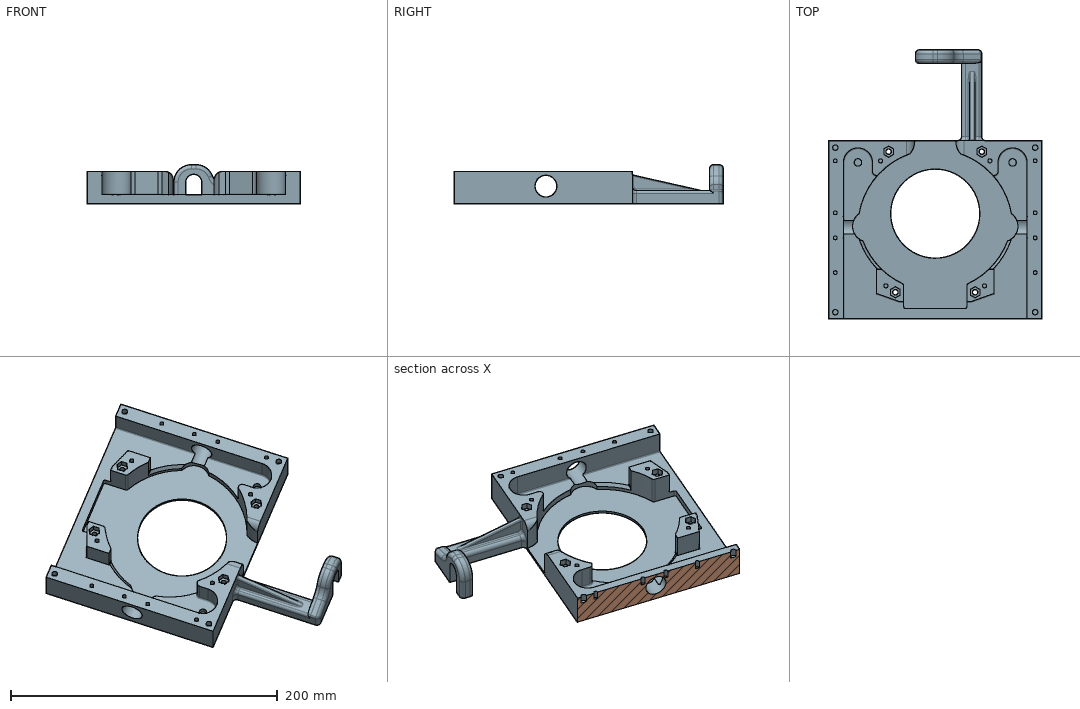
import cadquery as cq
import math

body_width = 160.0
body_depth = 133.7
body_height = 24.5
floor_top = 7.0
wall_thickness = 11.1
base_fillet = 0.5
wall_inner_x = body_width / 2 - wall_thickness

slot_width = 21.8
slot_x = wall_inner_x - slot_width / 2
slot_end_y = 117.4
slot_hole_radius = 2.8
slot_hole_depth = 4
boss_front_y = 107.7
boss_corner_fillet = 3.0

opening_half_width = 15.4
opening_curve_radius = 15.0
opening_end_x = 19.0
opening_round = 6.3

post_outer_x = 44.2
post_inner_x = 23.6
post_rear_y = 37.0
post_bevel_y = 19.2
post_front_x = 26.7
post_front_y = 13.0
post_corner_fillet = 2
post_overlap = 2

recess_floor = 2
bore_radius = 33.3
bore_y = 79.0
recess_radius = 58.0
recess_rear_center_y = 69.0
recess_front_y = 7.7
recess_corner_fillet = 1.5
bulge_radius = 11.7
bulge_x = 50.3
bulge_y = 69.5
bevel_size = 2.2
bevel_rear_y = 59.5

cross_bore_radius = 8
cross_bore_y = 68.9
cross_bore_z = 13.3

wall_hole_x = 75.0
wall_screw_radius = 2
wall_screw_ys = (5.0, 128.5)
wall_pin_radius = 1.5
wall_pin_ys = (34.7, 60.8, 79.5, 118.5)
blind_hole_depth = 6
bolt_radius = 1.92
nut_across_flats = 7.3
nut_depth = 5.0
bolt_points = ((29.9, 20.0), (35.0, 125.5))
block_pin_radius = 1.52
block_pin_points = ((37.0, 24.8), (41.0, 118.5))

overall_depth = 202
overall_height = 29.5
arm_left = 19.5
arm_right = 35.0
arm_height = 10
arm_left_fillet = 3.2
arm_right_fillet = 2.2
arm_root_fillet = 3.0
hook_thickness = 10.5
hook_radius = 13.1
hook_half_width = 15.0
hook_slot_radius = 5.95
hook_slot_spring_z = 16.2
hook_fillet = 3.2
hook_end_fillet = 1.5
valley_end_x = 21.0
valley_end_z = 14.7
bar_end_z = 10.7
rib_width = 4
rib_center_x = 27.7
rib_root_height = 21.8
rib_tip_y = 185.6
rib_top_fillet = 0.8
rib_foot_fillet = 1.0

pick_margin = 0.2


def both_sides(points):
    """Points on the +X side together with their mirror images."""
    return [(side * x, y) for side in (-1, 1) for x, y in points]


def prism(sketch, bottom, top):
    """Extrude a plan outline drawn on the XY plane between two heights."""
    return sketch.extrude(top - bottom).translate((0, 0, bottom))


def box(x_min, x_max, y_min, y_max, z_min, z_max):
    return (
        cq.Workplane("XY")
        .box(x_max - x_min, y_max - y_min, z_max - z_min, centered=False)
        .translate((x_min, y_min, z_min))
    )


def pick_zone(x_min, x_max, y_min, y_max, z_min, z_max):
    """Selector for the edges centred in a box or on its faces."""
    return cq.selectors.BoxSelector(
        (x_min - pick_margin, y_min - pick_margin, z_min - pick_margin),
        (x_max + pick_margin, y_max + pick_margin, z_max + pick_margin),
    )


def make_boss():
    """Rear right block and slot end; the recess later trims it back from the middle."""
    slot_inner_x = slot_x - slot_width / 2
    boss = box(0, slot_inner_x, boss_front_y, body_depth, 0, body_height)
    boss = boss.edges("|Z and >X and <Y").fillet(boss_corner_fillet)
    web = box(slot_inner_x, wall_inner_x, slot_end_y, body_depth, 0, body_height)
    slot_end = cq.Workplane("XY").center(slot_x, slot_end_y).circle(slot_width / 2).extrude(body_height)
    return boss.union(web.cut(slot_end))


def make_post():
    """Front right post; its rear inner side is trimmed later by the recess."""
    outline = cq.Workplane("XY").polyline([
        (post_inner_x - post_overlap, post_front_y),
        (post_front_x, post_front_y),
        (post_outer_x, post_bevel_y),
        (post_outer_x, post_rear_y),
        (post_inner_x - post_overlap, post_rear_y),
    ]).close()
    return outline.extrude(body_height)


def make_tray():
    half_width = body_width / 2
    tray = box(-half_width, half_width, 0, body_depth, 0, floor_top)
    right = box(wall_inner_x, half_width, 0, body_depth, 0, body_height)
    right = right.union(make_boss()).union(make_post())
    tray = tray.union(right).union(right.mirror("YZ"))
    cavity_rear_y = slot_end_y + slot_width / 2
    cavity_edges = pick_zone(-wall_inner_x, wall_inner_x, 0, cavity_rear_y, floor_top, floor_top)
    for side_x in (-post_outer_x, post_outer_x):
        cavity_edges -= pick_zone(side_x, side_x, post_bevel_y, post_rear_y, floor_top, floor_top)
    return tray.edges("#Z").edges(cavity_edges).edges("not(<Y)").fillet(base_fillet)


def make_recess():
    """Lens of two circles, widened at both sides, the front and the rear."""
    circles = [
        prism(cq.Workplane("XY").center(0, center_y).circle(recess_radius), recess_floor, body_height)
        for center_y in (bore_y, recess_rear_center_y)
    ]
    recess = circles[0].intersect(circles[1])
    tongue = box(-post_inner_x, post_inner_x, recess_front_y, bore_y, recess_floor, body_height)
    tongue = tongue.edges("|Z and <Y").fillet(recess_corner_fillet)
    recess = recess.union(tongue)
    post_corner_y = bore_y - math.sqrt(recess_radius**2 - post_inner_x**2)
    post_corners = pick_zone(
        -post_inner_x, post_inner_x, post_corner_y, post_corner_y, recess_floor, body_height
    )
    recess = recess.edges("|Z").edges(post_corners).fillet(post_corner_fillet)
    bulges = cq.Workplane("XY").pushPoints(both_sides([(bulge_x, bulge_y)])).circle(bulge_radius)
    recess = recess.union(prism(bulges, recess_floor, body_height))
    return recess.union(make_rear_opening())


def make_rear_opening():
    """Gap between the bosses: curved side walls and rounded top edges."""
    end_y = recess_rear_center_y + math.sqrt(recess_radius**2 - opening_end_x**2)
    plan = (
        cq.Workplane("XY")
        .moveTo(-opening_half_width, body_depth)
        .radiusArc((-opening_end_x, end_y), opening_curve_radius)
        .lineTo(opening_end_x, end_y)
        .radiusArc((opening_half_width, body_depth), opening_curve_radius)
        .close()
    )
    rim_x = opening_half_width + opening_round
    rim_z = body_height - opening_round
    flare = (
        cq.Workplane("XZ")
        .moveTo(-opening_half_width, rim_z)
        .radiusArc((-rim_x, body_height), -opening_round)
        .lineTo(rim_x, body_height)
        .radiusArc((opening_half_width, rim_z), -opening_round)
        .close()
        .extrude(-(body_depth - boss_front_y))
        .translate((0, boss_front_y, 0))
    )
    return prism(plan, recess_floor, body_height).union(flare)


def make_recess_bevel():
    """Bevel along the floor edge of the front circle, behind the posts."""
    cone = (
        cq.Workplane("XZ")
        .polyline([
            (0, floor_top - bevel_size),
            (recess_radius, floor_top - bevel_size),
            (recess_radius + bevel_size, floor_top),
            (0, floor_top),
        ])
        .close()
        .revolve(360, (0, 0), (0, 1))
        .translate((0, bore_y, 0))
    )
    reach = recess_radius + bevel_size
    return cone.intersect(box(-reach, reach, post_rear_y, bevel_rear_y, 0, floor_top))


def holes(points, radius, top, depth):
    return prism(cq.Workplane("XY").pushPoints(both_sides(points)).circle(radius), top - depth, top)


def cut_holes(part):
    bore = cq.Workplane("XY").center(0, bore_y).circle(bore_radius).extrude(floor_top)
    cross_bore = (
        cq.Workplane("YZ").center(cross_bore_y, cross_bore_z).circle(cross_bore_radius)
        .extrude(body_width / 2, both=True)
    )
    screws = [(wall_hole_x, y) for y in wall_screw_ys]
    pins = [(wall_hole_x, y) for y in wall_pin_ys]
    part = part.cut(bore).cut(cross_bore)
    for point in both_sides(bolt_points):
        hexagon = cq.Workplane("XY").polygon(6, nut_across_flats, circumscribed=True)
        part = part.cut(prism(hexagon, body_height - nut_depth, body_height).translate((*point, 0)))
    part = part.cut(holes(bolt_points, bolt_radius, body_height, body_height))
    part = part.cut(holes(screws, wall_screw_radius, body_height, blind_hole_depth))
    part = part.cut(holes(pins, wall_pin_radius, body_height, blind_hole_depth))
    part = part.cut(holes(block_pin_points, block_pin_radius, body_height, blind_hole_depth))
    return part.cut(holes([(slot_x, slot_end_y)], slot_hole_radius, floor_top, slot_hole_depth))


def make_hook():
    """Arch with a slot, running down a rounded valley into a sloping bar."""
    arch_x = hook_half_width - hook_radius
    spring_z = overall_height - hook_radius
    slope = math.atan2(valley_end_z - bar_end_z, arm_right - valley_end_x)
    normal_x = math.sin(slope)
    normal_z = math.cos(slope)
    reach_x = valley_end_x - arch_x
    reach_z = valley_end_z - spring_z
    reach_along_normal = reach_x * normal_x + reach_z * normal_z
    valley_radius = (reach_x**2 + reach_z**2 - hook_radius**2) / (2 * (hook_radius - reach_along_normal))
    angle = math.atan2(reach_z + valley_radius * normal_z, reach_x + valley_radius * normal_x)
    joint = (arch_x + hook_radius * math.cos(angle), spring_z + hook_radius * math.sin(angle))
    solid = (
        cq.Workplane("XZ")
        .moveTo(-hook_half_width, 0)
        .lineTo(-hook_half_width, spring_z)
        .radiusArc((-arch_x, overall_height), hook_radius)
        .lineTo(arch_x, overall_height)
        .radiusArc(joint, hook_radius)
        .radiusArc((valley_end_x, valley_end_z), -valley_radius)
        .lineTo(arm_right, bar_end_z)
        .lineTo(arm_right, 0)
        .close()
        .extrude(hook_thickness)
        .translate((0, overall_depth, 0))
    )
    solid = solid.faces(">X").edges(">Z").fillet(hook_end_fillet)
    for face_y in (overall_depth - hook_thickness, overall_depth):
        rim_start = (-hook_half_width, face_y, spring_z / 2)
        solid = solid.edges(cq.selectors.NearestToPointSelector(rim_start)).fillet(hook_fillet)
    slot = (
        cq.Workplane("XZ")
        .moveTo(-hook_slot_radius, 0)
        .lineTo(-hook_slot_radius, hook_slot_spring_z)
        .radiusArc((hook_slot_radius, hook_slot_spring_z), hook_slot_radius)
        .lineTo(hook_slot_radius, 0)
        .close()
        .extrude(-overall_depth)
    )
    return solid.cut(slot)


def make_arm():
    arm_end_y = overall_depth - hook_thickness / 2
    arm = box(arm_left, arm_right, body_depth, arm_end_y, 0, arm_height)
    arm = arm.edges("|Y and >Z and <X").fillet(arm_left_fillet)
    return arm.edges("|Y and >Z and >X").fillet(arm_right_fillet)


def make_rib():
    """Tapered stiffener standing on the arm."""
    rib = (
        cq.Workplane("YZ")
        .polyline([
            (body_depth, 0),
            (body_depth, rib_root_height),
            (rib_tip_y, arm_height),
            (rib_tip_y, 0),
        ])
        .close()
        .extrude(rib_width)
        .translate((rib_center_x - rib_width / 2, 0, 0))
    )
    return rib.edges("not(|X or |Y or |Z)").fillet(rib_top_fillet)


def add_arm(tray):
    """Join the arm to the tray with a rounded root, then add the rib with rounded feet."""
    part = tray.union(make_arm())
    root_edges = pick_zone(arm_left, arm_right, body_depth, body_depth, 0, arm_height)
    part = part.edges(root_edges).edges("not(<Z)").fillet(arm_root_fillet)
    part = part.union(make_rib())
    rib_left = rib_center_x - rib_width / 2
    foot_edges = pick_zone(
        rib_left, rib_left + rib_width, body_depth + arm_root_fillet, rib_tip_y, arm_height, arm_height
    )
    return part.edges(foot_edges).fillet(rib_foot_fillet)


part = add_arm(make_tray())
part = part.cut(make_recess()).cut(make_recess_bevel())
part = cut_holes(part)
result = part.union(make_hook())